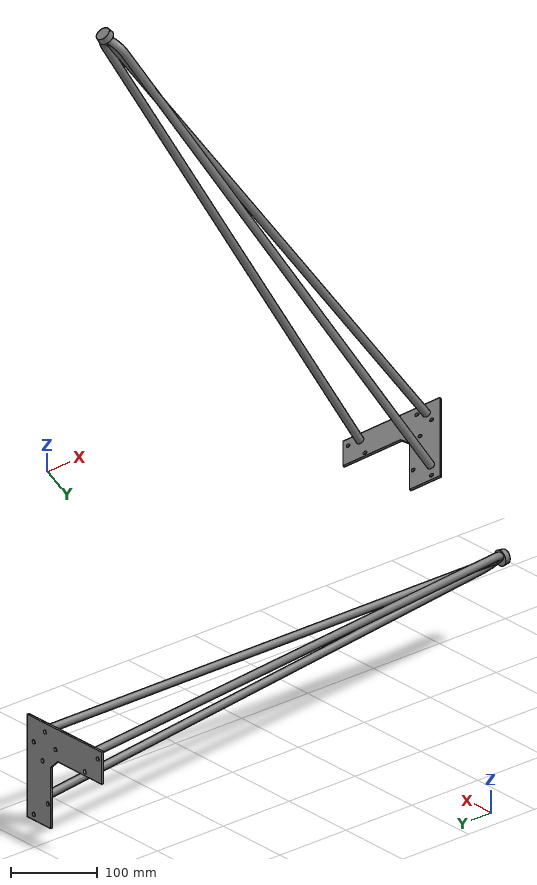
import cadquery as cq
import math

total_length = 710.0
plate_size = 131.0
plate_thickness = 3.0
plate_arm_width = 41.0
inner_corner_bevel = 12.0
half_length = total_length / 2
half_plate = plate_size / 2
plate_front_y = half_length - plate_thickness

screw_hole_diameter = 5.0
screw_hole_places = [(7.0, 11.5), (30.0, 36.0), (82.0, 27.0), (100.0, 11.5)]

rod_diameter = 10.0
rod_radius = rod_diameter / 2
axis_inset = 18.0
axis_place = half_plate - axis_inset

foot_top_diameter = 20.0
foot_tip_diameter = 18.0
foot_height = 8.0
foot_recess_depth = 1.0

bend_radius = 18.5
arm_end_inset = 12.0
arm_end_run = 108.0
rod_end_gap = 4.0
bend_apex_y = -half_length + foot_height - foot_recess_depth + rod_radius


def make_plate():
    """L-shaped mounting plate with a bevelled inner corner and screw holes."""
    inner = half_plate - plate_arm_width
    outline = [
        (-half_plate, half_plate),
        (half_plate, half_plate),
        (half_plate, -half_plate),
        (inner, -half_plate),
        (inner, inner - inner_corner_bevel),
        (inner - inner_corner_bevel, inner),
        (-half_plate, inner),
    ]
    holes = []
    for along, inset in screw_hole_places:
        from_end = along - half_plate
        from_edge = half_plate - inset
        holes += [(from_end, from_edge), (from_edge, from_end)]
    front_plane = cq.Workplane("XZ", origin=(0, half_length, 0))
    blank = front_plane.polyline(outline).close().extrude(plate_thickness)
    drills = front_plane.pushPoints(holes).circle(screw_hole_diameter / 2).extrude(plate_thickness)
    return blank.cut(drills)


def make_hairpin():
    """Bent rod whose arms butt against the front of the plate."""
    end_shift = (arm_end_run - arm_end_inset) / math.sqrt(2)
    mid_shift = (arm_end_run + arm_end_inset - 2 * axis_inset) / math.sqrt(2)
    rise = plate_front_y - bend_apex_y
    run = math.hypot(rise, mid_shift)
    apex = cq.Vector(axis_place, bend_apex_y, axis_place)
    mid_offset = mid_shift / math.sqrt(2)
    long_dir = cq.Vector(-mid_offset, rise, -mid_offset).normalized()
    cross_dir = cq.Vector(-1, 0, 1).normalized()

    centre_to_end = run - bend_radius
    reach = math.hypot(centre_to_end, end_shift)
    tangent_angle = math.atan2(end_shift, centre_to_end) + math.acos(bend_radius / reach)
    tangent_along = bend_radius + bend_radius * math.cos(tangent_angle)
    tangent_across = bend_radius * math.sin(tangent_angle)

    def point(along, across):
        return apex + long_dir * along + cross_dir * across

    stretch = 1 + rod_diameter / run
    end_along = tangent_along + (run - tangent_along) * stretch
    end_across = tangent_across + (end_shift - tangent_across) * stretch

    path = cq.Wire.assembleEdges([
        cq.Edge.makeLine(point(end_along, end_across), point(tangent_along, tangent_across)),
        cq.Edge.makeThreePointArc(
            point(tangent_along, tangent_across), apex, point(tangent_along, -tangent_across)
        ),
        cq.Edge.makeLine(point(tangent_along, -tangent_across), point(end_along, -end_across)),
    ])
    start = point(end_along, end_across)
    start_dir = point(tangent_along, tangent_across) - start
    section = cq.Workplane(cq.Plane(origin=start, normal=start_dir)).circle(rod_radius)
    rod = section.sweep(cq.Workplane(path))
    trim = cq.Workplane("XZ", origin=(0, plate_front_y, 0)).rect(
        2 * plate_size, 2 * plate_size
    ).extrude(-2 * rod_diameter)
    return rod.cut(trim)


def make_straight_rod(hairpin):
    """Straight rod from the plate to the bend, its end notched around the bend."""
    rod = (
        cq.Workplane("XZ", origin=(axis_place, plate_front_y, axis_place))
        .circle(rod_radius)
        .extrude(plate_front_y - bend_apex_y - rod_end_gap)
    )
    return rod.cut(hairpin)


def make_foot(hairpin):
    """Slightly tapered round foot with a shallow seat for the bend."""
    blank = (
        cq.Workplane("XZ", origin=(axis_place, -half_length + foot_height, axis_place))
        .circle(foot_top_diameter / 2)
        .workplane(offset=foot_height)
        .circle(foot_tip_diameter / 2)
        .loft()
    )
    return blank.cut(hairpin)


plate = make_plate()
hairpin = make_hairpin()
straight_rod = make_straight_rod(hairpin)
foot = make_foot(hairpin)

result = cq.Compound.makeCompound([plate.val(), hairpin.val(), straight_rod.val(), foot.val()])